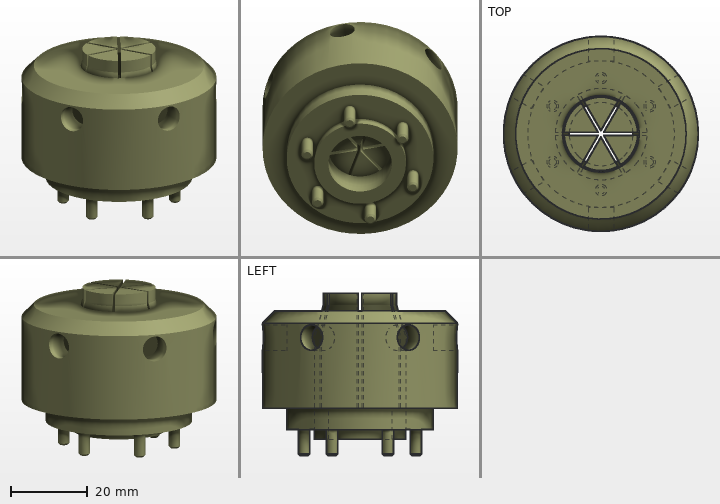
import cadquery as cq
import math

DRUM_DIAMETER = 50.8
DRUM_HEIGHT = 25.4
DRUM_CHAMFER = 3.2
STEP_DIAMETER = 38.2
STEP_HEIGHT = 5.55

WRENCH_HOLE_COUNT = 6
WRENCH_HOLE_DIAMETER = 6.6
WRENCH_HOLE_DEPTH = 6.35
WRENCH_HOLE_Z = 18.45
WRENCH_HOLE_START_ANGLE = 30.0

PIN_COUNT = 6
PIN_DIAMETER = 3.0
PIN_LENGTH = 6.8
PIN_CHAMFER = 0.5
PIN_CIRCLE_RADIUS = 14.6
PIN_START_ANGLE = 30.0

NOSE_DIAMETER = 19.1
NOSE_HEIGHT = 3.15
NOSE_PROJECTION = 4.6
CONE_HALF_ANGLE = 16.0
SHANK_DIAMETER = 23.9
SHANK_PROJECTION = 2.55

SLOT_COUNT = 3
SLOT_WIDTH = 0.8
REAR_BORE_DIAMETER = 16.55
JAW_ROOT_Z = 0.0

step_bottom_z = -STEP_HEIGHT
nose_radius = NOSE_DIAMETER / 2
shank_radius = SHANK_DIAMETER / 2
collet_top_z = DRUM_HEIGHT + NOSE_PROJECTION
collet_bottom_z = step_bottom_z - SHANK_PROJECTION
cone_top_z = collet_top_z - NOSE_HEIGHT
cone_bottom_z = cone_top_z - (shank_radius - nose_radius) / math.tan(math.radians(CONE_HALF_ANGLE))


def cylinder(diameter, bottom_z, height):
    """Upright cylinder on the Z axis."""
    return cq.Workplane("XY").workplane(offset=bottom_z).circle(diameter / 2).extrude(height)


def collet_blank():
    """Collet envelope before slotting; the housing bore has this same shape."""
    profile = [
        (0, collet_bottom_z),
        (shank_radius, collet_bottom_z),
        (shank_radius, cone_bottom_z),
        (nose_radius, cone_top_z),
        (nose_radius, collet_top_z),
        (0, collet_top_z),
    ]
    return cq.Workplane("XZ").polyline(profile).close().revolve(360, (0, 0), (0, 1))


def wrench_holes():
    """Flat-bottomed radial holes spaced evenly around the drum."""
    floor_radius = DRUM_DIAMETER / 2 - WRENCH_HOLE_DEPTH
    cutter = (
        cq.Workplane("YZ", origin=(floor_radius, 0, WRENCH_HOLE_Z))
        .circle(WRENCH_HOLE_DIAMETER / 2)
        .extrude(2 * WRENCH_HOLE_DEPTH)
    )
    holes = cq.Workplane("XY")
    for index in range(WRENCH_HOLE_COUNT):
        angle = WRENCH_HOLE_START_ANGLE + index * 360 / WRENCH_HOLE_COUNT
        holes = holes.add(cutter.rotate((0, 0, 0), (0, 0, 1), angle))
    return holes.combine()


def drive_pins():
    """Chamfered pins hanging from the locating step."""
    return (
        cq.Workplane("XY", origin=(0, 0, step_bottom_z))
        .polarArray(PIN_CIRCLE_RADIUS, PIN_START_ANGLE, 360, PIN_COUNT)
        .circle(PIN_DIAMETER / 2)
        .extrude(-PIN_LENGTH)
        .faces("<Z")
        .chamfer(PIN_CHAMFER)
    )


def make_housing():
    drum = cylinder(DRUM_DIAMETER, 0, DRUM_HEIGHT).faces(">Z").chamfer(DRUM_CHAMFER)
    step = cylinder(STEP_DIAMETER, step_bottom_z, STEP_HEIGHT)
    shell = drum.union(step).cut(collet_blank()).cut(wrench_holes())
    return shell.union(drive_pins())


def jaw_slots():
    """Full-width slots through the collet axis, from the nose down to the jaw roots."""
    slot = cq.Workplane("XY", origin=(0, 0, JAW_ROOT_Z)).box(
        SHANK_DIAMETER, SLOT_WIDTH, collet_top_z - JAW_ROOT_Z, centered=(True, True, False)
    )
    slots = slot
    for index in range(1, SLOT_COUNT):
        slots = slots.union(slot.rotate((0, 0, 0), (0, 0, 1), index * 180 / SLOT_COUNT))
    return slots


def make_collet():
    rear_bore = cylinder(REAR_BORE_DIAMETER, collet_bottom_z, JAW_ROOT_Z - collet_bottom_z)
    return collet_blank().cut(rear_bore).cut(jaw_slots())


housing = make_housing()
collet = make_collet()
result = cq.Compound.makeCompound([housing.val(), collet.val()])